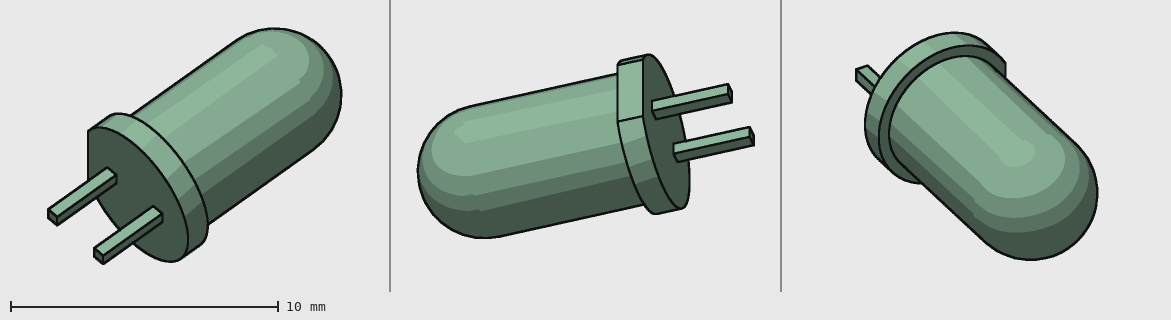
import cadquery as cq

lens_diameter = 5.0
lens_radius = lens_diameter / 2
barrel_length = 6.1

flange_diameter = 5.9
flange_radius = flange_diameter / 2
flange_thickness = 1.0
flange_width = 5.54
flat_x = flange_radius - flange_width

lead_width = 0.5
lead_length = 3.0
lead_pitch = 2.54

barrel_end = flange_thickness + barrel_length
dome_tip = barrel_end + lens_radius
dome_mid_offset = lens_radius * 0.5 ** 0.5


def make_flange():
    """Round flange with one flat facing -X, marking the cathode side."""
    disc = cq.Workplane("XZ").circle(flange_radius).extrude(-flange_thickness)
    beyond_flat = (
        cq.Workplane("XZ")
        .center(flat_x - flange_radius / 2, 0)
        .rect(flange_radius, flange_diameter)
        .extrude(-flange_thickness)
    )
    return disc.cut(beyond_flat)


def make_lens():
    """Cylindrical barrel closed by a hemispherical dome, revolved about Y."""
    return (
        cq.Workplane("XY")
        .moveTo(0, flange_thickness)
        .lineTo(-lens_radius, flange_thickness)
        .lineTo(-lens_radius, barrel_end)
        .threePointArc((-dome_mid_offset, barrel_end + dome_mid_offset), (0, dome_tip))
        .close()
        .revolve(360, (0, 0, 0), (0, 1, 0))
    )


def make_lead(x_center):
    """Square lead standing on the flange underside and pointing toward -Y."""
    return (
        cq.Workplane("XZ")
        .center(x_center, 0)
        .rect(lead_width, lead_width)
        .extrude(lead_length)
    )


housing = make_flange().union(make_lens()).solids()
leads = [make_lead(side * lead_pitch / 2) for side in (-1, 1)]

result = cq.Compound.makeCompound([housing.val(), *[lead.val() for lead in leads]])